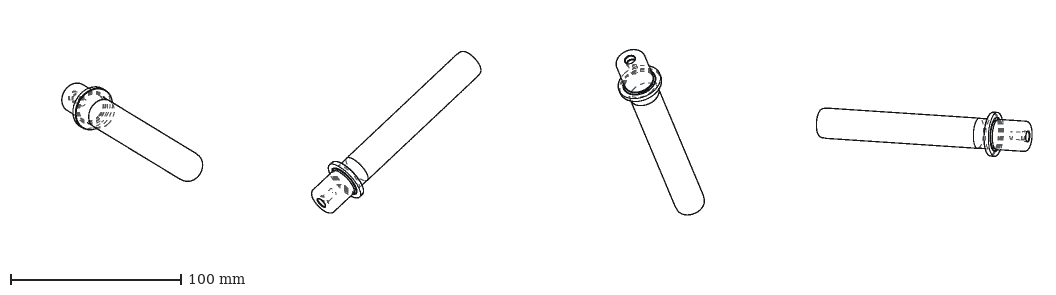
import cadquery as cq
import math

length = 130.0
body_radius = 9.0
end_round = 2.0

flange_start = 20.0
flange_end = 23.0
flange_radius = 13.0
flange_chamfer = 0.4
root_fillet = 1.0

groove_start = 19.0
groove_depth = 0.4
groove_slope_length = 0.3
groove_face_radius = 10.1
groove_wall_radius = 9.6
groove_face_depth = 0.2

neck_end = 31.0
neck_radius = 8.8

lead_start = 125.6
lead_drop = 0.3

mouth_radius = 3.4
recess_radius = 3.0
recess_depth = 3.0
mouth_chamfer = mouth_radius - recess_radius
bore_radius = 2.28
bore_depth = 10.4
drill_tip_angle = 120.0


def make_pin():
    """Revolve the outer profile, drawn as (X, radius), around the X axis."""
    groove_radius = body_radius - groove_depth
    tip_radius = body_radius - lead_drop
    arc_offset = end_round * (1 - math.sqrt(0.5))
    root_offset = root_fillet * (1 - math.sqrt(0.5))
    profile = (
        cq.Workplane("XY")
        .lineTo(0, body_radius - end_round)
        .threePointArc((arc_offset, body_radius - arc_offset), (end_round, body_radius))
        .lineTo(groove_start, body_radius)
        .lineTo(groove_start + groove_slope_length, groove_radius)
        .lineTo(flange_start + groove_face_depth, groove_radius)
        .lineTo(flange_start + groove_face_depth, groove_wall_radius)
        .lineTo(flange_start, groove_face_radius)
        .lineTo(flange_start, flange_radius)
        .lineTo(flange_end - flange_chamfer, flange_radius)
        .lineTo(flange_end, flange_radius - flange_chamfer)
        .lineTo(flange_end, neck_radius + root_fillet)
        .threePointArc(
            (flange_end + root_offset, neck_radius + root_offset),
            (flange_end + root_fillet, neck_radius),
        )
        .lineTo(neck_end, neck_radius)
        .lineTo(neck_end, body_radius)
        .lineTo(lead_start, body_radius)
        .lineTo(length - end_round, tip_radius)
        .threePointArc((length - arc_offset, tip_radius - arc_offset), (length, tip_radius - end_round))
        .lineTo(length, 0)
        .close()
    )
    return profile.revolve(360, (0, 0, 0), (1, 0, 0))


def make_centre_hole():
    """Chamfered recess followed by a drilled bore with a conical bottom."""
    tip_length = bore_radius / math.tan(math.radians(drill_tip_angle / 2))
    profile = (
        cq.Workplane("XY")
        .lineTo(0, mouth_radius)
        .lineTo(mouth_chamfer, recess_radius)
        .lineTo(recess_depth, recess_radius)
        .lineTo(recess_depth, bore_radius)
        .lineTo(bore_depth, bore_radius)
        .lineTo(bore_depth + tip_length, 0)
        .close()
    )
    return profile.revolve(360, (0, 0, 0), (1, 0, 0))


result = make_pin().cut(make_centre_hole())